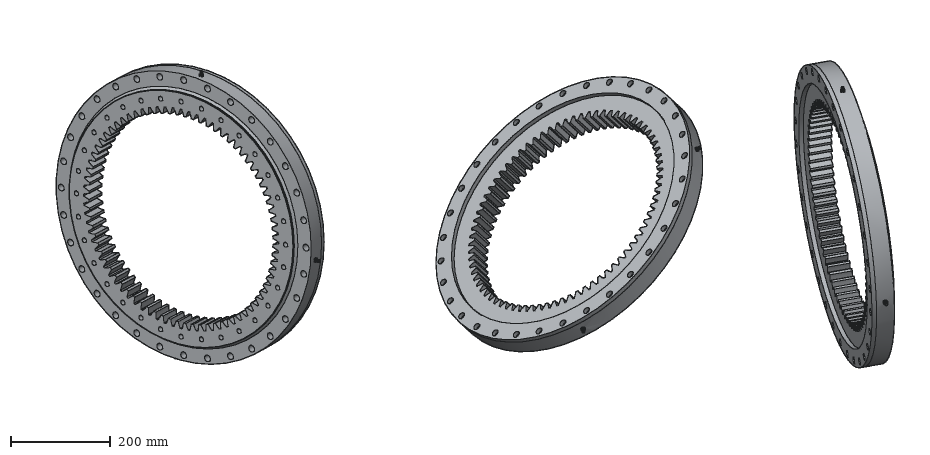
import cadquery as cq
import math


TOTAL_WIDTH = 56.0
BACK_Y = TOTAL_WIDTH / 2
BACK_RING_WIDTH = 9.5
OUTER_FRONT_DEPTH = 47.0
GEAR_BACK_DEPTH = TOTAL_WIDTH - OUTER_FRONT_DEPTH

OUTER_RADIUS = 308.5
GEAR_OUTER_RADIUS = 271.0

SEAL_BASE_RADIUS = 276.5
SEAL_LIP_RADIUS = 271.5
SEAL_TAPER_HEIGHT = SEAL_BASE_RADIUS - SEAL_LIP_RADIUS
SEAL_HEIGHT = 7.0

TEETH = 76
MODULE = 6.0
PRESSURE_ANGLE = math.radians(20)
PITCH_RADIUS = MODULE * TEETH / 2
BASE_RADIUS = PITCH_RADIUS * math.cos(PRESSURE_ANGLE)
ADDENDUM = MODULE
DEDENDUM = 1.25 * MODULE
TIP_RADIUS = PITCH_RADIUS - ADDENDUM
ROOT_RADIUS = PITCH_RADIUS + DEDENDUM

HOLES_PER_RING = 32
HOLE_PITCH_ANGLE = 360 / HOLES_PER_RING
OUTER_BOLT_RADIUS = 296.0
OUTER_HOLE_DIAMETER = 14.0
INNER_BOLT_RADIUS = 253.0
INNER_HOLE_DIAMETER = 10.0
INNER_HOLE_DEPTH = 25.0
DRILL_POINT_ANGLE = math.radians(118)
DRILL_POINT_HEIGHT = INNER_HOLE_DIAMETER / 2 / math.tan(DRILL_POINT_ANGLE / 2)

NIPPLE_COUNT = 4
NIPPLE_FIRST_ANGLE = -HOLE_PITCH_ANGLE / 2
NIPPLE_DEPTH = (BACK_RING_WIDTH + OUTER_FRONT_DEPTH) / 2
NIPPLE_SEAT_DEPTH = 2.0
NIPPLE_SHOULDER_HEIGHT = 1.0
NIPPLE_SEAT_RADIUS = OUTER_RADIUS - NIPPLE_SEAT_DEPTH
NIPPLE_SHOULDER_RADIUS = OUTER_RADIUS + NIPPLE_SHOULDER_HEIGHT
NIPPLE_NECK_END_RADIUS = 312.5
NIPPLE_HEAD_START_RADIUS = 314.0
NIPPLE_HEAD_END_RADIUS = 315.5
NIPPLE_TIP_RADIUS = 317.5
NIPPLE_BASE_DIAMETER = 9.5
NIPPLE_NECK_DIAMETER = 4.5
NIPPLE_HEAD_DIAMETER = 6.5
NIPPLE_TIP_DIAMETER = 4.5


def axial_plane(depth):
    """Workplane across the bearing axis at a depth; extruding goes toward -Y."""
    return cq.Workplane("XZ", origin=(0, BACK_Y - depth, 0))


def ring(start_depth, end_depth, outer_radius, inner_radius):
    return (
        axial_plane(start_depth)
        .circle(outer_radius)
        .circle(inner_radius)
        .extrude(end_depth - start_depth)
    )


def outer_bolt_holes(body):
    holes = (
        axial_plane(0)
        .polarArray(OUTER_BOLT_RADIUS, 0, 360, HOLES_PER_RING)
        .circle(OUTER_HOLE_DIAMETER / 2)
        .extrude(TOTAL_WIDTH)
    )
    return body.cut(holes)


def place_radially(body, angle):
    """Turn a body built along +X to point outward at an angle from +X toward +Z, at the nipple depth."""
    return body.rotate((0, 0, 0), (0, 1, 0), -angle).translate((0, BACK_Y - NIPPLE_DEPTH, 0))


def nipple_seat(angle):
    seat = (
        cq.Workplane("YZ", origin=(NIPPLE_SEAT_RADIUS, 0, 0))
        .circle(NIPPLE_BASE_DIAMETER / 2)
        .extrude(NIPPLE_SHOULDER_RADIUS - NIPPLE_SEAT_RADIUS)
    )
    return place_radially(seat, angle)


def make_back_ring():
    return outer_bolt_holes(ring(0, BACK_RING_WIDTH, OUTER_RADIUS, GEAR_OUTER_RADIUS))


def make_front_ring(nipple_angles):
    body = ring(BACK_RING_WIDTH, OUTER_FRONT_DEPTH, OUTER_RADIUS, GEAR_OUTER_RADIUS)
    body = outer_bolt_holes(body)
    for angle in nipple_angles:
        body = body.cut(nipple_seat(angle))
    return body


def make_seal():
    """Ring on the front face of the outer ring, tapering at 45 degrees to a lip around the gear ring."""
    front_y = BACK_Y - OUTER_FRONT_DEPTH
    return (
        cq.Workplane("XY")
        .moveTo(GEAR_OUTER_RADIUS, front_y)
        .lineTo(SEAL_BASE_RADIUS, front_y)
        .lineTo(SEAL_LIP_RADIUS, front_y - SEAL_TAPER_HEIGHT)
        .lineTo(SEAL_LIP_RADIUS, front_y - SEAL_HEIGHT)
        .lineTo(GEAR_OUTER_RADIUS, front_y - SEAL_HEIGHT)
        .close()
        .revolve(360, (0, 0, 0), (0, 1, 0))
    )


def involute(angle):
    return math.tan(angle) - angle


def gap_half_angle(radius):
    """Half the angle of a tooth gap at a radius, for involute flanks."""
    flank_angle = math.acos(BASE_RADIUS / radius)
    return math.pi / (2 * TEETH) + involute(PRESSURE_ANGLE) - involute(flank_angle)


def polar(radius, angle):
    return (radius * math.cos(angle), radius * math.sin(angle))


def gear_bore():
    """Bore of the gear ring: the space inside the teeth together with the gaps between them."""
    pitch_angle = 2 * math.pi / TEETH
    tip_half = gap_half_angle(TIP_RADIUS)
    pitch_half = gap_half_angle(PITCH_RADIUS)
    root_half = gap_half_angle(ROOT_RADIUS)
    outline = axial_plane(GEAR_BACK_DEPTH).moveTo(*polar(TIP_RADIUS, -tip_half))
    for tooth in range(TEETH):
        gap = tooth * pitch_angle
        next_gap = gap + pitch_angle
        outline = (
            outline
            .threePointArc(polar(PITCH_RADIUS, gap - pitch_half), polar(ROOT_RADIUS, gap - root_half))
            .threePointArc(polar(ROOT_RADIUS, gap), polar(ROOT_RADIUS, gap + root_half))
            .threePointArc(polar(PITCH_RADIUS, gap + pitch_half), polar(TIP_RADIUS, gap + tip_half))
            .threePointArc(
                polar(TIP_RADIUS, gap + pitch_angle / 2),
                polar(TIP_RADIUS, next_gap - tip_half),
            )
        )
    return outline.close().extrude(TOTAL_WIDTH - GEAR_BACK_DEPTH)


def inner_bolt_holes():
    """Blind holes with drill points, entering from the front face of the gear ring."""
    front_y = -BACK_Y
    bottom_y = front_y + INNER_HOLE_DEPTH
    hole = (
        cq.Workplane("XY")
        .moveTo(0, front_y)
        .lineTo(INNER_HOLE_DIAMETER / 2, front_y)
        .lineTo(INNER_HOLE_DIAMETER / 2, bottom_y)
        .lineTo(0, bottom_y + DRILL_POINT_HEIGHT)
        .close()
        .revolve(360, (0, 0, 0), (0, 1, 0))
        .translate((INNER_BOLT_RADIUS, 0, 0))
    )
    holes = cq.Workplane("XZ")
    for index in range(HOLES_PER_RING):
        holes = holes.add(hole.rotate((0, 0, 0), (0, 1, 0), index * HOLE_PITCH_ANGLE))
    return holes.combine()


def make_gear_ring():
    blank = axial_plane(GEAR_BACK_DEPTH).circle(GEAR_OUTER_RADIUS).extrude(TOTAL_WIDTH - GEAR_BACK_DEPTH)
    return blank.cut(gear_bore()).cut(inner_bolt_holes())


def make_nipple(angle):
    """Turned grease nipple: seated base, narrow neck and a head that tapers to a flat tip."""
    body = (
        cq.Workplane("XY")
        .moveTo(NIPPLE_SEAT_RADIUS, 0)
        .lineTo(NIPPLE_SEAT_RADIUS, NIPPLE_BASE_DIAMETER / 2)
        .lineTo(NIPPLE_SHOULDER_RADIUS, NIPPLE_BASE_DIAMETER / 2)
        .lineTo(NIPPLE_SHOULDER_RADIUS, NIPPLE_NECK_DIAMETER / 2)
        .lineTo(NIPPLE_NECK_END_RADIUS, NIPPLE_NECK_DIAMETER / 2)
        .lineTo(NIPPLE_HEAD_START_RADIUS, NIPPLE_HEAD_DIAMETER / 2)
        .lineTo(NIPPLE_HEAD_END_RADIUS, NIPPLE_HEAD_DIAMETER / 2)
        .lineTo(NIPPLE_TIP_RADIUS, NIPPLE_TIP_DIAMETER / 2)
        .lineTo(NIPPLE_TIP_RADIUS, 0)
        .close()
        .revolve(360, (0, 0, 0), (1, 0, 0))
    )
    return place_radially(body, angle)


nipple_angles = [NIPPLE_FIRST_ANGLE + index * 360 / NIPPLE_COUNT for index in range(NIPPLE_COUNT)]

back_ring = make_back_ring()
front_ring = make_front_ring(nipple_angles)
seal = make_seal()
gear_ring = make_gear_ring()
nipples = [make_nipple(angle) for angle in nipple_angles]

result = cq.Compound.makeCompound(
    [back_ring.val(), front_ring.val(), seal.val(), gear_ring.val()]
    + [nipple.val() for nipple in nipples]
)